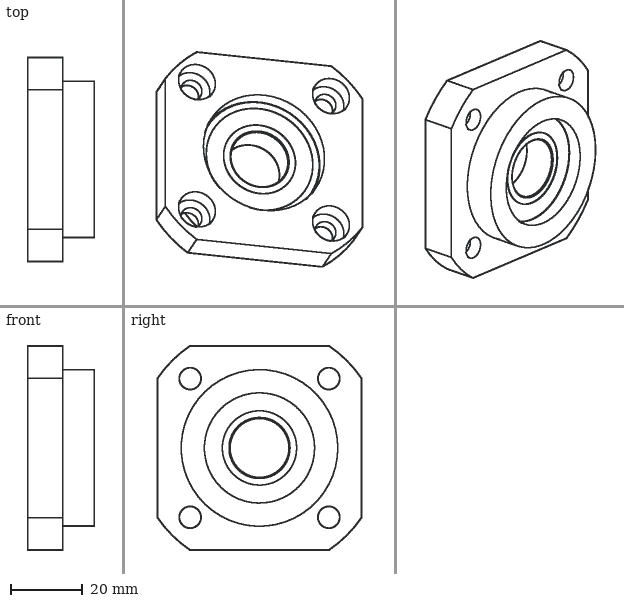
import cadquery as cq

flange_side = 56.82
flange_thickness = 9.8
corner_radius = 34.4
total_length = 18.58
boss_diameter = 43.6

bolt_spacing = 38.6
bolt_hole_diameter = 6.0
counterbore_diameter = 10.6
counterbore_depth = 6.0

bearing_diameter = 34.9
bearing_bore = 16.4
bearing_width = 9.85
bearing_depth = 4.75
bearing_chamfer = 0.3
outer_ring_inner_diameter = 30.7
inner_ring_outer_diameter = 20.7
shield_recess = 0.2

shoulder_diameter = outer_ring_inner_diameter


def cylinder(diameter, start, length):
    """Solid cylinder about the X axis, from X = start."""
    return cq.Workplane("YZ", origin=(start, 0, 0)).circle(diameter / 2).extrude(length)


def make_housing():
    square = cq.Workplane("YZ").rect(flange_side, flange_side).extrude(flange_thickness)
    flange = square.intersect(cylinder(2 * corner_radius, 0, flange_thickness))
    body = flange.union(cylinder(boss_diameter, 0, total_length))
    body = body.cut(cylinder(bearing_diameter, 0, bearing_depth + bearing_width))
    body = body.cut(cylinder(shoulder_diameter, 0, total_length))

    bolt_offset = bolt_spacing / 2
    for y in (-bolt_offset, bolt_offset):
        for z in (-bolt_offset, bolt_offset):
            hole = cylinder(bolt_hole_diameter, 0, flange_thickness)
            hole = hole.union(cylinder(counterbore_diameter, 0, counterbore_depth))
            body = body.cut(hole.translate((0, y, z)))
    return body


def make_bearing():
    rings = cylinder(bearing_diameter, bearing_depth, bearing_width)
    rings = rings.cut(cylinder(bearing_bore, bearing_depth, bearing_width))
    rings = rings.faces("<X or >X").edges().chamfer(bearing_chamfer)

    shield_groove = cylinder(outer_ring_inner_diameter, 0, shield_recess)
    shield_groove = shield_groove.cut(cylinder(inner_ring_outer_diameter, 0, shield_recess))
    front_groove_start = bearing_depth
    rear_groove_start = bearing_depth + bearing_width - shield_recess
    for start in (front_groove_start, rear_groove_start):
        rings = rings.cut(shield_groove.translate((start, 0, 0)))
    return rings


housing = make_housing()
bearing = make_bearing()

result = cq.Compound.makeCompound([housing.val(), bearing.val()])